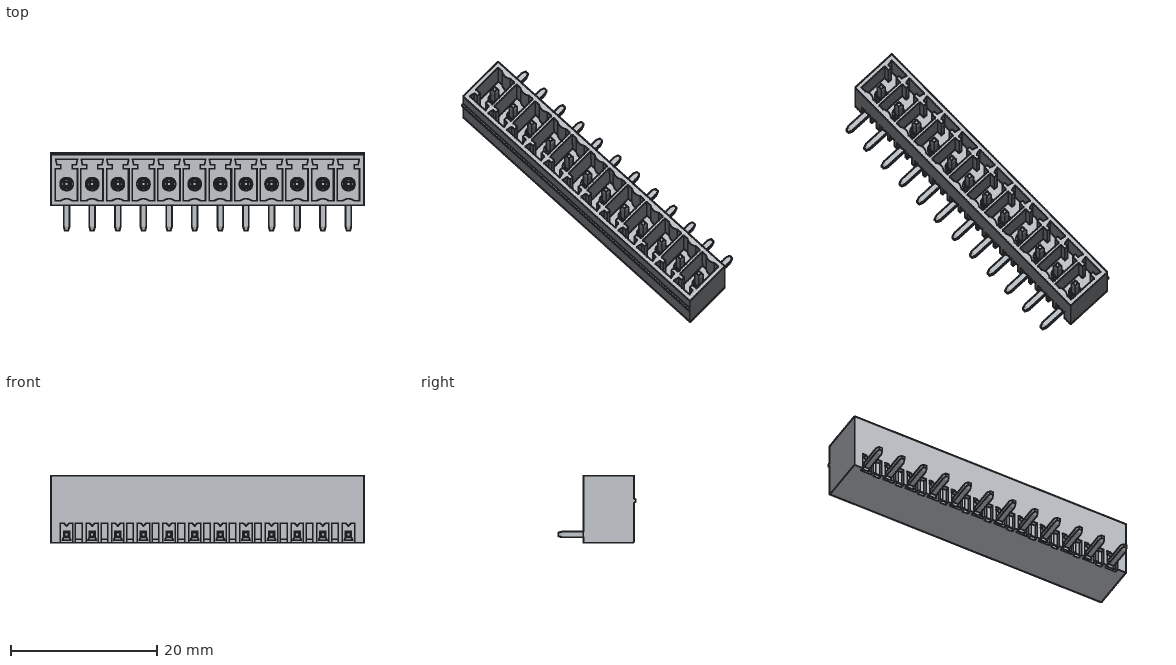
import cadquery as cq

LENGTH = 42.8
DEPTH = 6.95
HEIGHT = 9.2
REAR_BOTTOM_FILLET = 0.25

POLES = 12
END_MARGIN = 2.15
PITCH = (LENGTH - 2 * END_MARGIN) / (POLES - 1)
PIN_POINTS = [(END_MARGIN + i * PITCH, 0) for i in range(POLES)]

RIDGE_Z = 5.78
RIDGE_BASE = 0.6
RIDGE_TIP = 0.3
RIDGE_REACH = 0.25

FLOOR_Z = 3.42
POCKET_HALF = 1.55
FRONT_WALL = 0.65
REAR_WALL = 0.65
TAB_FRONT_Y = DEPTH - 1.93
TAB_REAR_Y = DEPTH - 1.4
NECK_HALF = 0.75
HEAD_FRONT_HALF = 1.33
HEAD_REAR_HALF = 1.5
WALL_DRAFT = 0.1
BULGE_HALF = 0.75
BULGE_REACH = 0.25

PIN_SIZE = 0.8
PIN_TIP_SIZE = 0.45
PIN_TAPER = 0.55
PIN_Y = 2.9
PIN_Z = 1.15
PIN_TOP_Z = HEIGHT - 1.2
PIN_REACH = 3.45
COLLAR_BASE_DIAMETER = 1.8
COLLAR_TOP_DIAMETER = 1.33
COLLAR_HEIGHT = 0.2

RECESS_HEIGHT = 2.7
RECESS_DEPTH = 0.55
PIN_RECESS_WIDTH = 1.65
NOTCH_HALF = 0.35
NOTCH_DROP = 0.4
SIDE_RECESS_OFFSET = 1.65
SIDE_RECESS_WIDTH = 0.9
UNDERCUT_HEIGHT = 0.5
UNDERCUT_DEPTH = 0.13

RAMP_FOOT_Z = 0.4
RAMP_FOOT_WIDTH = 1.15
RAMP_REACH = 0.15


def housing_block():
    block = cq.Workplane("XY").box(LENGTH, DEPTH, HEIGHT, centered=False)
    block = block.edges(">Y and <Z").fillet(REAR_BOTTOM_FILLET)
    ridge = (
        cq.Workplane("YZ")
        .moveTo(DEPTH, RIDGE_Z - RIDGE_BASE / 2)
        .lineTo(DEPTH + RIDGE_REACH, RIDGE_Z - RIDGE_TIP / 2)
        .lineTo(DEPTH + RIDGE_REACH, RIDGE_Z + RIDGE_TIP / 2)
        .lineTo(DEPTH, RIDGE_Z + RIDGE_BASE / 2)
        .close()
        .extrude(LENGTH)
    )
    return block.union(ridge)


def pocket():
    """Pocket space: a main chamber, a neck between two tabs and a dovetail head behind them.

    The +X wall of the chamber leans inward toward the floor.
    """
    rear_y = DEPTH - REAR_WALL
    space = (
        cq.Workplane("XY", origin=(0, 0, FLOOR_Z))
        .moveTo(-POCKET_HALF, FRONT_WALL)
        .lineTo(-BULGE_HALF, FRONT_WALL)
        .threePointArc((0, FRONT_WALL + BULGE_REACH), (BULGE_HALF, FRONT_WALL))
        .lineTo(POCKET_HALF, FRONT_WALL)
        .lineTo(POCKET_HALF, TAB_FRONT_Y)
        .lineTo(NECK_HALF, TAB_FRONT_Y)
        .lineTo(NECK_HALF, TAB_REAR_Y)
        .lineTo(HEAD_FRONT_HALF, TAB_REAR_Y)
        .lineTo(HEAD_REAR_HALF, rear_y)
        .lineTo(-HEAD_REAR_HALF, rear_y)
        .lineTo(-HEAD_FRONT_HALF, TAB_REAR_Y)
        .lineTo(-NECK_HALF, TAB_REAR_Y)
        .lineTo(-NECK_HALF, TAB_FRONT_Y)
        .lineTo(-POCKET_HALF, TAB_FRONT_Y)
        .close()
        .extrude(HEIGHT - FLOOR_Z)
    )
    leaning_wall = (
        cq.Workplane("XZ", origin=(0, FRONT_WALL, 0))
        .moveTo(POCKET_HALF - WALL_DRAFT, FLOOR_Z)
        .lineTo(POCKET_HALF, FLOOR_Z)
        .lineTo(POCKET_HALF, HEIGHT)
        .close()
        .extrude(FRONT_WALL - TAB_FRONT_Y)
    )
    return space.cut(leaning_wall)


def pin_recess():
    """Recess around a pin; a V of housing hangs down from the middle of its top edge."""
    half = PIN_RECESS_WIDTH / 2
    return (
        cq.Workplane("XZ")
        .moveTo(-half, 0)
        .lineTo(-half, RECESS_HEIGHT)
        .lineTo(-NOTCH_HALF, RECESS_HEIGHT)
        .lineTo(0, RECESS_HEIGHT - NOTCH_DROP)
        .lineTo(NOTCH_HALF, RECESS_HEIGHT)
        .lineTo(half, RECESS_HEIGHT)
        .lineTo(half, 0)
        .close()
        .extrude(-RECESS_DEPTH)
    )


def side_recess():
    """Plain recess beside a pin, cut slightly deeper along its bottom."""
    centered = (True, False, False)
    recess = cq.Workplane("XY").box(SIDE_RECESS_WIDTH, RECESS_DEPTH, RECESS_HEIGHT, centered=centered)
    undercut = cq.Workplane("XY").box(
        SIDE_RECESS_WIDTH, RECESS_DEPTH + UNDERCUT_DEPTH, UNDERCUT_HEIGHT, centered=centered
    )
    return recess.union(undercut).translate((SIDE_RECESS_OFFSET, 0, 0))


def pin_leg(plane, start, length):
    """Square leg along the plane normal, ending in a pyramidal tip."""
    shank_length = length - PIN_TAPER
    leg = cq.Workplane(plane, origin=start).rect(PIN_SIZE, PIN_SIZE).extrude(shank_length)
    tip = (
        cq.Workplane(plane, origin=start)
        .workplane(offset=shank_length)
        .rect(PIN_SIZE, PIN_SIZE)
        .workplane(offset=PIN_TAPER)
        .rect(PIN_TIP_SIZE, PIN_TIP_SIZE)
        .loft(combine=False)
    )
    return leg.union(tip)


def pin():
    bend = (0, PIN_Y, PIN_Z)
    upright = pin_leg("XY", bend, PIN_TOP_Z - PIN_Z)
    tail = pin_leg("XZ", bend, PIN_Y + PIN_REACH)
    return upright.union(tail)


def collar():
    """Conical collar around the pin on the pocket floor."""
    return (
        cq.Workplane("XY", origin=(0, PIN_Y, FLOOR_Z))
        .circle(COLLAR_BASE_DIAMETER / 2)
        .workplane(offset=COLLAR_HEIGHT)
        .circle(COLLAR_TOP_DIAMETER / 2)
        .loft(combine=True)
    )


def ramp():
    """Sloped support that widens downward from the pin to the back of the recess."""
    top_z = PIN_Z - PIN_SIZE / 2
    outline = (
        cq.Workplane("XZ", origin=(0, RECESS_DEPTH, 0))
        .moveTo(-RAMP_FOOT_WIDTH / 2, RAMP_FOOT_Z)
        .lineTo(RAMP_FOOT_WIDTH / 2, RAMP_FOOT_Z)
        .lineTo(PIN_SIZE / 2, top_z)
        .lineTo(-PIN_SIZE / 2, top_z)
        .close()
        .extrude(RAMP_REACH)
    )
    slope = (
        cq.Workplane("YZ", origin=(-RAMP_FOOT_WIDTH / 2, 0, 0))
        .moveTo(RECESS_DEPTH, RAMP_FOOT_Z)
        .lineTo(RECESS_DEPTH - RAMP_REACH, top_z)
        .lineTo(RECESS_DEPTH, top_z)
        .close()
        .extrude(RAMP_FOOT_WIDTH)
    )
    return outline.intersect(slope)


def repeat(feature, points):
    """Copies of a feature modelled at X = 0, one at each point of the row."""
    shape = feature.val()
    return cq.Workplane("XY").pushPoints(points).eachpoint(lambda place: shape.moved(place))


result = (
    housing_block()
    .cut(repeat(pocket(), PIN_POINTS))
    .cut(repeat(pin_recess(), PIN_POINTS))
    .cut(repeat(side_recess(), PIN_POINTS[:-1]))
    .union(repeat(collar(), PIN_POINTS))
    .union(repeat(ramp(), PIN_POINTS))
    .union(repeat(pin(), PIN_POINTS))
)